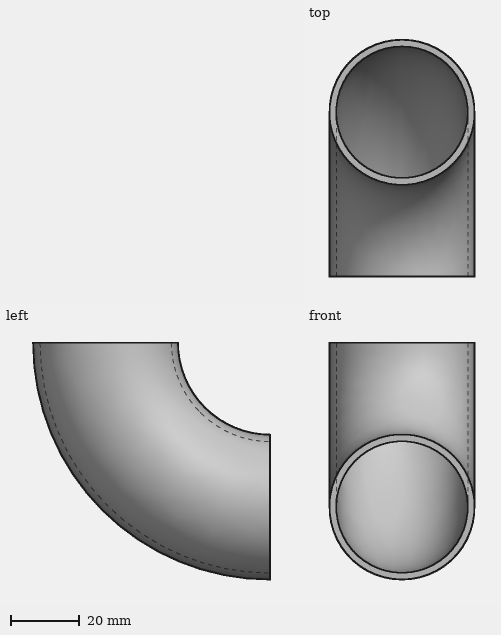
import cadquery as cq

outer_diameter = 42.4
wall_thickness = 2.0
bend_radius = 48.0
bend_angle = 90.0

inner_diameter = outer_diameter - 2 * wall_thickness

upper_end_plane = cq.Plane(origin=(0, 0, 0), xDir=(0, 1, 0), normal=(0, 0, 1))


def pipe_elbow():
    """Sweep the pipe's ring section around the bend axis, from +Y down to -Z."""
    ring = (
        cq.Workplane(upper_end_plane)
        .center(bend_radius, 0)
        .circle(outer_diameter / 2)
        .circle(inner_diameter / 2)
    )
    return ring.revolve(bend_angle, (-bend_radius, 0), (-bend_radius, 1))


result = pipe_elbow()